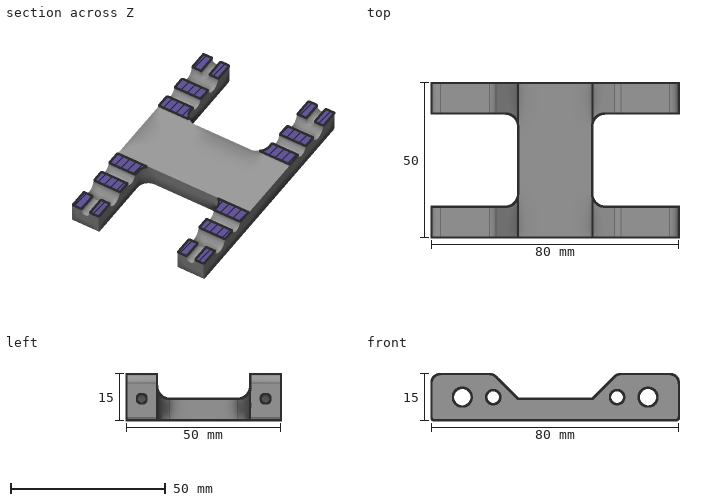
import cadquery as cq

length = 80.0
width = 50.0
height = 15.0

web_width = 24.0
web_thickness = 7.0
arm_width = 10.0
shoulder_run = height - web_thickness
pocket_corner_radius = 4.0

top_radius = 3.0
bottom_radius = 1.0

cross_hole_height = 7.5
large_hole_diameter = 6.0
large_hole_inset = 10.0
small_hole_diameter = 4.5
small_hole_inset = 20.0

end_hole_diameter = 3.2
end_hole_height = 7.0
end_hole_depth = large_hole_inset

half_length = length / 2
half_web = web_width / 2
half_shoulder = half_web + shoulder_run
side_signs = (-1, 1)


def make_body():
    """Side profile extruded across the width, with its top and bottom ends rounded."""
    body = (
        cq.Workplane("XZ", origin=(0, width / 2, 0))
        .moveTo(-half_length, 0)
        .lineTo(half_length, 0)
        .lineTo(half_length, height)
        .lineTo(half_shoulder, height)
        .lineTo(half_web, web_thickness)
        .lineTo(-half_web, web_thickness)
        .lineTo(-half_shoulder, height)
        .lineTo(-half_length, height)
        .close()
        .extrude(width)
    )
    body = body.faces(">Z").edges("|Y").fillet(top_radius)
    return body.faces("<Z").edges("|Y").fillet(bottom_radius)


def make_pocket(side):
    """Opening between the two arms on one side, rounded where it meets the web."""
    pocket_length = half_length - half_web
    inner_edges = "<X" if side > 0 else ">X"
    return (
        cq.Workplane("XY")
        .center(side * (half_web + pocket_length / 2), 0)
        .rect(pocket_length, width - 2 * arm_width)
        .extrude(height)
        .faces(inner_edges)
        .edges("|Z")
        .fillet(pocket_corner_radius)
    )


def make_cross_holes(diameter, inset):
    """Pair of mirrored holes running the full width along Y."""
    offset = half_length - inset
    return (
        cq.Workplane("XZ", origin=(0, width / 2, cross_hole_height))
        .pushPoints([(side * offset, 0) for side in side_signs])
        .circle(diameter / 2)
        .extrude(width)
    )


def make_end_hole(x_side, y_side):
    """Hole bored inward along X from the tip of one arm."""
    y_center = y_side * (width - arm_width) / 2
    return (
        cq.Workplane("YZ", origin=(x_side * half_length, y_center, end_hole_height))
        .circle(end_hole_diameter / 2)
        .extrude(-x_side * end_hole_depth)
    )


result = make_body()
for x_side in side_signs:
    result = result.cut(make_pocket(x_side))
result = result.cut(make_cross_holes(large_hole_diameter, large_hole_inset))
result = result.cut(make_cross_holes(small_hole_diameter, small_hole_inset))
for x_side in side_signs:
    for y_side in side_signs:
        result = result.cut(make_end_hole(x_side, y_side))